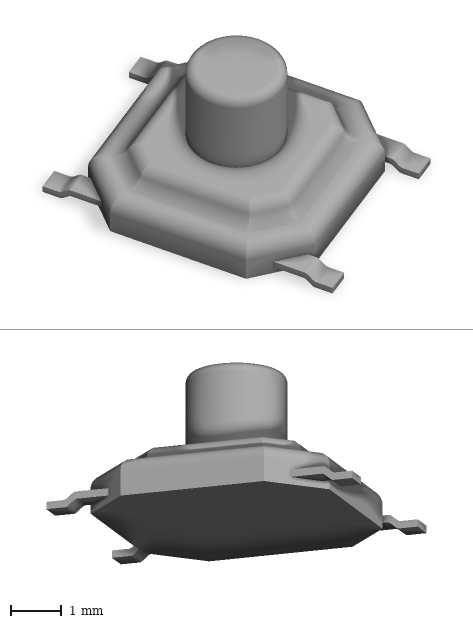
import cadquery as cq
import math

body_width = 5.0
corner_cut = 1.0
base_height = 0.5
shoulder_height = 0.8
bend_height = 1.0
body_height = 1.2
edge_radius = 0.3
top_inset = 1.0

button_diameter = 2.0
button_top = 3.0
button_rim_radius = 0.2

lead_span = 6.4
lead_width = 0.5
lead_offset = 1.85
lead_thickness = 0.15
lead_foot_length = 0.36
lead_step_length = 0.25
lead_lower_shift = 0.03
lead_bend_handle = 0.08
lead_rise = 0.15
lead_inner_end = 1.8

half_width = body_width / 2
half_diagonal = (body_width - corner_cut) / math.sqrt(2)
slab_length = 2 * body_width


def edge_profile(half):
    """Right half of the housing section across one pair of parallel sides, given its half width."""
    slope = math.acos(1 - (bend_height - shoulder_height) / edge_radius)
    curve_run = edge_radius * math.sin(slope)
    top = half - top_inset
    bend = top + curve_run
    cove_start = bend + curve_run
    return (
        cq.Workplane("XZ")
        .moveTo(0, 0)
        .lineTo(half, 0)
        .lineTo(half, base_height)
        .radiusArc((half - edge_radius, shoulder_height), -edge_radius)
        .lineTo(cove_start, shoulder_height)
        .radiusArc((bend, bend_height), edge_radius)
        .radiusArc((top, body_height), -edge_radius)
        .lineTo(0, body_height)
        .close()
    )


def housing_slab(half, angle):
    """Long bar with the edge profile on both sides, turned about Z."""
    side = edge_profile(half).extrude(slab_length / 2, both=True)
    return side.union(side.mirror("YZ")).rotate((0, 0, 0), (0, 0, 1), angle)


def make_housing():
    """The bars across all four directions overlap in the mitred octagon."""
    housing = housing_slab(half_width, 0).intersect(housing_slab(half_width, 90))
    for angle in (45, 135):
        housing = housing.intersect(housing_slab(half_diagonal, angle))
    return housing


def make_button():
    button = cq.Workplane("XY").circle(button_diameter / 2).extrude(button_top)
    return button.faces(">Z").edges().fillet(button_rim_radius)


def make_lead():
    """Strip on the +X, +Y corner, stepping up in a smooth S from its foot into the housing."""
    tip = lead_span / 2
    foot_end = tip - lead_foot_length
    step_end = foot_end - lead_step_length
    upper_face = lead_rise + lead_thickness
    lower_foot_end = foot_end - lead_lower_shift
    lower_step_end = step_end - lead_lower_shift
    return (
        cq.Workplane("XZ", origin=(0, lead_offset + lead_width / 2, 0))
        .moveTo(tip, 0)
        .lineTo(tip, lead_thickness)
        .lineTo(foot_end, lead_thickness)
        .bezier(
            [
                (foot_end - lead_bend_handle, lead_thickness),
                (step_end + lead_bend_handle, upper_face),
                (step_end, upper_face),
            ],
            includeCurrent=True,
        )
        .lineTo(lead_inner_end, upper_face)
        .lineTo(lead_inner_end, lead_rise)
        .lineTo(lower_step_end, lead_rise)
        .bezier(
            [
                (lower_step_end + lead_bend_handle, lead_rise),
                (lower_foot_end - lead_bend_handle, 0),
                (lower_foot_end, 0),
            ],
            includeCurrent=True,
        )
        .close()
        .extrude(lead_width)
    )


result = make_housing().union(make_button())
lead = make_lead()
lead_pair = lead.union(lead.mirror("YZ"))
for pair in (lead_pair, lead_pair.mirror("XZ")):
    result = result.union(pair)